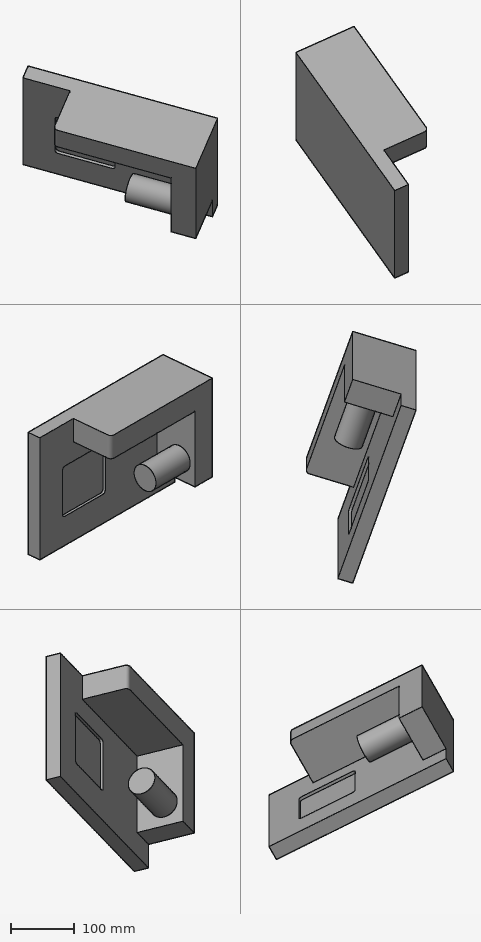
import cadquery as cq

length = 315.0
height = 225.0
total_depth = 105.0
plate_thickness = 25.0

arm_left = 78.5
arm_height = 42.8
leg_width = 41.0
leg_bottom = 42.8
corner_radius = 7.0

pin_diameter = 46.3
pin_length = 80.0
pin_front_offset = 33.0
pin_height = 82.2

pocket_left = 53.2
pocket_bottom = 54.0
pocket_width = 100.0
pocket_height = 92.5
pocket_depth = 5.0
pocket_radius = 6.0

overlap = 3.0


def block(x_min, z_min, width, tall, y_rear, depth):
    """Box reaching forward (-Y) from y_rear."""
    return (
        cq.Workplane("XY")
        .box(width, depth, tall, centered=False)
        .translate((x_min, y_rear - depth, z_min))
    )


hook_depth = total_depth - plate_thickness
leg_left = length - leg_width

plate = block(0, 0, length, height, 0, plate_thickness)

arm = block(
    arm_left, height - arm_height, length - arm_left, arm_height, -plate_thickness, hook_depth
)
arm = arm.edges("|Z and <X and <Y").fillet(corner_radius)

leg = block(leg_left, leg_bottom, leg_width, height - leg_bottom, -plate_thickness, hook_depth)

pin = (
    cq.Workplane("YZ", origin=(leg_left - pin_length, pin_front_offset - total_depth, pin_height))
    .circle(pin_diameter / 2)
    .extrude(pin_length + overlap)
)

pocket = block(
    pocket_left, pocket_bottom, pocket_width, pocket_height, -plate_thickness + pocket_depth, pocket_depth
)
pocket = pocket.edges("|Y").fillet(pocket_radius)

result = plate.union(arm).union(leg).union(pin).cut(pocket)